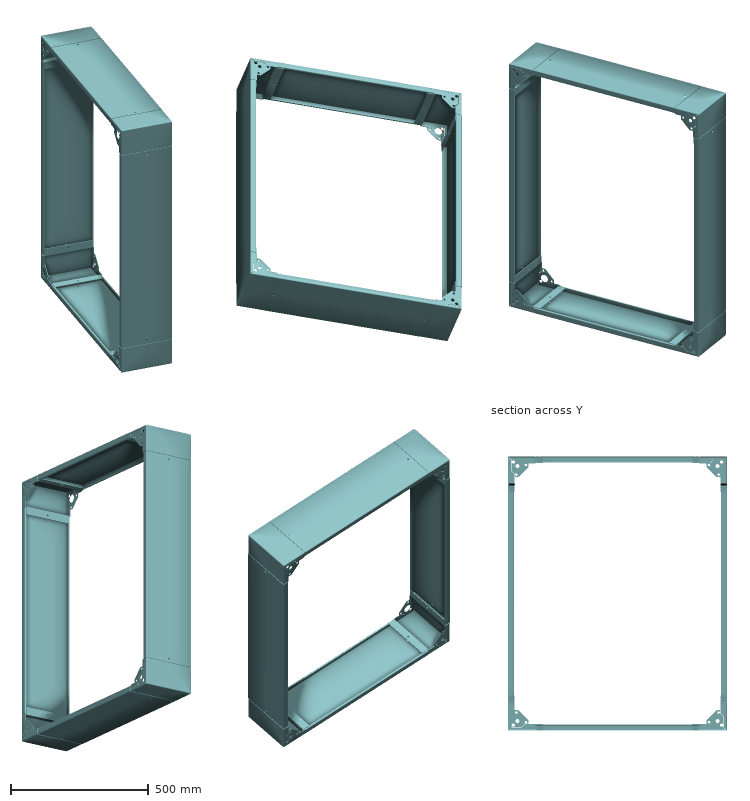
import cadquery as cq

WIDTH = 800.0
DEPTH = 200.0
HEIGHT = 1000.0

SHEET = 2.0

CORNER_LEG = 100.0
CORNER_FLANGE = 25.0
CORNER_BEND = 4.0
SLIT = 1.0
SLIT_INSET = 12.0
SLIT_RAMP = 52.0

GUSSET = 75.0
GUSSET_NOSE = 39.0
BOLT_INSET = 35.0
FRONT_BOLT_HOLE = 30.0
BACK_BOLT_HOLE = 14.0
RELIEF_HOLE = 12.0
RELIEF_INSET = 20.0
TAB_HOLE = 9.0
TAB_HOLE_NEAR = 31.0
TAB_HOLE_FAR = 66.0

JOINT_GAP = 3.0
PANEL_FLANGE = 22.0
PANEL_BEND = 3.0
LIP = 7.0

TONGUE_TOP = PANEL_FLANGE + SHEET
TONGUE_END = 129.0
TONGUE_INSET = 5.0
SCREW_HOLE = 7.0
SCREW_INSET = 116.0

PANEL_START = CORNER_LEG + JOINT_GAP


def block(x_range, y_range, z_range):
    """Box between the given limits."""
    (x0, x1), (y0, y1), (z0, z1) = x_range, y_range, z_range
    return cq.Workplane("XY").box(x1 - x0, y1 - y0, z1 - z0, centered=False).translate((x0, y0, z0))


def through_prism(points):
    """Prism over a closed outline of (x, z) points, through the whole depth."""
    return cq.Workplane("XZ", origin=(0, DEPTH / 2, 0)).polyline(points).close().extrude(DEPTH)


def hole_along_y(x, z, diameter, y_front, y_back):
    """Cylinder along Y that cuts a round hole."""
    return cq.Workplane("XZ", origin=(x, y_back, z)).circle(diameter / 2).extrude(y_back - y_front)


def corner_block(inset, bend):
    """Block that fills the corner piece, set in from its outer faces and with its folds rounded."""
    half = DEPTH / 2 - inset
    body = block((inset, CORNER_LEG), (-half, half), (inset, CORNER_LEG))
    folds = "(<X and (<Y or >Y)) or (<Z and (<Y or >Y)) or (<X and <Z)"
    return body.edges(folds).fillet(bend)


def corner_shell():
    """Folded sheet with two outer walls and full front and back plates, outer vertex at the origin."""
    return corner_block(0, CORNER_BEND).cut(corner_block(SHEET, CORNER_BEND - SHEET))


def plate_opening():
    """Open area of the front and back plates, which leaves the flanges and the gusset."""
    points = [
        (CORNER_FLANGE, GUSSET),
        (GUSSET_NOSE, GUSSET),
        (GUSSET, GUSSET_NOSE),
        (GUSSET, CORNER_FLANGE),
        (CORNER_LEG, CORNER_FLANGE),
        (CORNER_LEG, CORNER_LEG),
        (CORNER_FLANGE, CORNER_LEG),
    ]
    return through_prism(points)


def slit():
    """Mitre cut that runs along the lower leg and up between its flange and the gusset."""
    ramp_end = SLIT_RAMP + CORNER_FLANGE - SLIT_INSET
    points = [
        (CORNER_BEND, CORNER_BEND),
        (SLIT_INSET, SLIT_INSET),
        (SLIT_RAMP, SLIT_INSET),
        (ramp_end, CORNER_FLANGE),
        (GUSSET, CORNER_FLANGE),
        (GUSSET, CORNER_FLANGE + SLIT),
        (ramp_end - SLIT, CORNER_FLANGE + SLIT),
        (SLIT_RAMP - SLIT, SLIT_INSET + SLIT),
        (SLIT_INSET, SLIT_INSET + SLIT),
        (CORNER_BEND, CORNER_BEND + SLIT),
    ]
    return through_prism(points)


def gusset_holes():
    """Bolt holes, wide in front and narrow behind, with the relief hole and the two tab holes."""
    half = DEPTH / 2
    holes = hole_along_y(BOLT_INSET, BOLT_INSET, FRONT_BOLT_HOLE, -half, 0)
    holes = holes.union(hole_along_y(BOLT_INSET, BOLT_INSET, BACK_BOLT_HOLE, 0, half))
    holes = holes.union(hole_along_y(RELIEF_INSET, RELIEF_INSET, RELIEF_HOLE, -half, half))
    for x, z in [(TAB_HOLE_NEAR, TAB_HOLE_FAR), (TAB_HOLE_FAR, TAB_HOLE_NEAR)]:
        holes = holes.union(hole_along_y(x, z, TAB_HOLE, -half, half))
    return holes


def tongue():
    """End wall and tongue of the leg along X."""
    wall_width = (SHEET - DEPTH / 2, DEPTH / 2 - SHEET)
    tongue_width = (TONGUE_INSET - DEPTH / 2, DEPTH / 2 - TONGUE_INSET)
    wall_start = CORNER_LEG - SHEET / 2
    wall = block((wall_start, PANEL_START), wall_width, (SHEET, TONGUE_TOP))
    plate = block((wall_start, TONGUE_END), tongue_width, (PANEL_FLANGE, TONGUE_TOP))
    screw = cq.Workplane("XY").center(SCREW_INSET, 0).circle(SCREW_HOLE / 2).extrude(CORNER_FLANGE)
    return wall.union(plate).cut(screw)


def corner_piece():
    """Corner piece with its outer vertex at the origin and its legs along +X and +Z."""
    piece = corner_shell().cut(plate_opening()).cut(slit()).cut(gusset_holes())
    lower_tongue = tongue()
    upright_tongue = lower_tongue.mirror(cq.Vector(1, 0, -1))
    return piece.union(lower_tongue).union(upright_tongue)


def panel(side_length):
    """Lipped channel for a frame side along X, centred, with its outer wall on Z = 0."""
    length = side_length - 2 * PANEL_START
    mid = PANEL_FLANGE / 2
    tube = cq.Workplane("XY").box(length, DEPTH, PANEL_FLANGE).edges("|X").fillet(PANEL_BEND)
    bore = (
        cq.Workplane("XY")
        .box(length, DEPTH - 2 * SHEET, PANEL_FLANGE - 2 * SHEET)
        .edges("|X")
        .fillet(PANEL_BEND - SHEET)
    )
    mouth = cq.Workplane("XY").box(length, DEPTH - 2 * LIP, PANEL_FLANGE).translate((0, 0, mid))
    screw_x = side_length / 2 - SCREW_INSET
    screws = (
        cq.Workplane("XY").pushPoints([(-screw_x, 0), (screw_x, 0)]).circle(SCREW_HOLE / 2).extrude(SHEET)
    )
    return tube.cut(bore).cut(mouth).translate((0, 0, mid)).cut(screws)


def about_y(body, quarter_turns):
    """Body turned about the Y axis by quarter turns that take +Z to +X."""
    return body.rotate((0, 0, 0), (0, 1, 0), 90 * quarter_turns)


corner = corner_piece()
corner_places = [
    (-WIDTH / 2, -HEIGHT / 2),
    (-WIDTH / 2, HEIGHT / 2),
    (WIDTH / 2, HEIGHT / 2),
    (WIDTH / 2, -HEIGHT / 2),
]
corners = [about_y(corner, turns).translate((x, 0, z)) for turns, (x, z) in enumerate(corner_places)]

panels = []
for turns in range(4):
    upright = turns % 2 == 1
    side_length = HEIGHT if upright else WIDTH
    outward = WIDTH / 2 if upright else HEIGHT / 2
    panels.append(about_y(panel(side_length).translate((0, 0, -outward)), turns))

result = cq.Compound.makeCompound([body.val() for body in corners + panels])